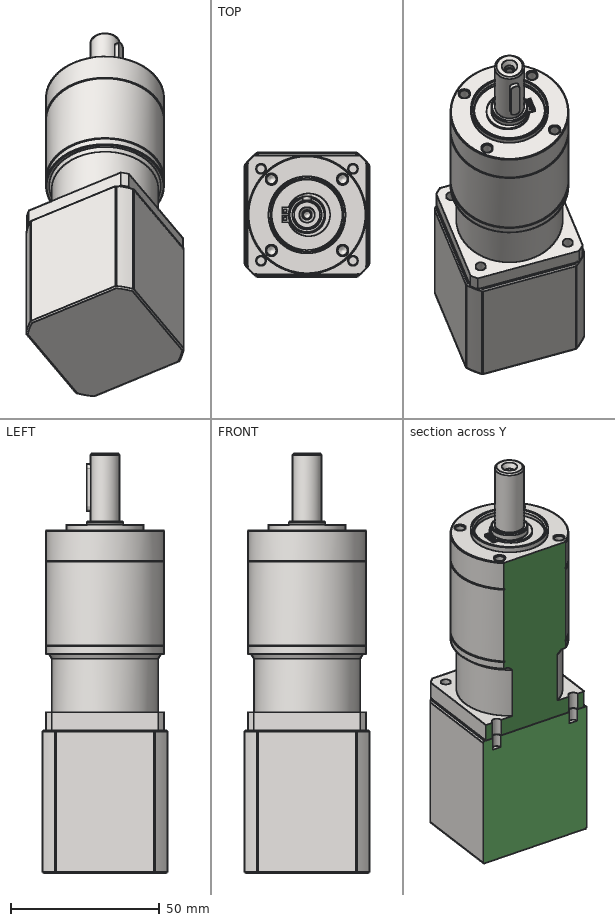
import cadquery as cq
import math

total_height = 141.8
motor_height = 48.4
flange_top = 54.5
barrel_bottom = 73.9
rear_groove_height = 76.9
front_groove_height = 105.4
barrel_top = 115.9
boss_top = 117.7
hub_top = 118.8

motor_side = 42.3
motor_end_chamfer = 0.5
motor_corner_chamfer = 0.3
motor_hole_diameter = 3.0
motor_hole_depth = 4.5

corner_radius = 27.0
flange_side = 40.0
flange_hole_spacing = 31.0
flange_hole_diameter = 3.4

barrel_radius = flange_side / 2
barrel_chamfer = 0.3
groove_depth = 0.21
neck_radius = 18.0
collar_radius = 18.9
collar_bottom = 72.5

boss_radius = 13.0
recess_radius = 11.9
recess_chamfer = 0.5
recess_floor = barrel_top

front_hole_diameter = 3.3
front_hole_mouth_diameter = 4.0
front_hole_mouth_angle = 90
front_hole_count = 4
front_hole_circle = 34.0
front_hole_depth = 9.9
drill_point_angle = 118

shaft_radius = 5.0
shaft_chamfer = 0.5
hub_radius = 6.2
hub_chamfer = 0.4
center_mouth_diameter = 5.2
center_mouth_angle = 60
center_bore_diameter = 3.3
center_bore_depth = 3.1
center_drill_diameter = 2.5
center_drill_depth = 9.0

key_width = 3.0
key_bottom = 122.2
key_top = 138.3
key_reach = 6.2

ring_radius = 7.2
ring_offset = 0.5
ring_thickness = 0.7
ear_reach = 8.4
ear_width = 5.1
ear_gap = 0.7
ear_hole_diameter = 1.1
ear_hole_x = -7.4
ear_hole_spacing = 2.7


def rounded_square(side, bottom, height):
    """A square block whose corners are turned down to the common corner cylinder."""
    block = cq.Workplane("XY").workplane(offset=bottom).rect(side, side).extrude(height)
    limit = cq.Workplane("XY").workplane(offset=bottom).circle(corner_radius).extrude(height)
    return block.intersect(limit)


def cylinder(radius, bottom, top):
    return cq.Workplane("XY").workplane(offset=bottom).circle(radius).extrude(top - bottom)


def revolved(outline):
    """A solid turned about the Z axis from a closed outline of (radius, height) points."""
    return cq.Workplane("XZ").polyline(outline).close().revolve(360, (0, 0), (0, 1))


def cone_height(radius, angle):
    """The height of a cone with the given base radius and full tip angle."""
    return radius / math.tan(math.radians(angle / 2))


def drill(diameter, top, depth):
    """A drilled hole's volume with a conical point, on the Z axis."""
    radius = diameter / 2
    tip = top - depth - cone_height(radius, drill_point_angle)
    return revolved([(0, top), (radius, top), (radius, top - depth), (0, tip)])


def countersink(diameter, top, angle):
    """A conical hole mouth's volume, on the Z axis."""
    radius = diameter / 2
    return revolved([(0, top), (radius, top), (0, top - cone_height(radius, angle))])


def flange_holes(diameter, bottom, top):
    """Four straight hole volumes on the flange's square bolt pattern."""
    return (
        cq.Workplane("XY").workplane(offset=bottom)
        .rect(flange_hole_spacing, flange_hole_spacing, forConstruction=True).vertices()
        .circle(diameter / 2).extrude(top - bottom)
    )


def make_motor():
    motor = rounded_square(motor_side, 0, motor_height).edges("|Z").chamfer(motor_corner_chamfer)
    motor = motor.faces("<Z or >Z").edges().chamfer(motor_end_chamfer)
    return motor.cut(flange_holes(motor_hole_diameter, motor_height - motor_hole_depth, motor_height))


def make_flange():
    flange = rounded_square(flange_side, motor_height, flange_top - motor_height)
    return flange.cut(flange_holes(flange_hole_diameter, motor_height, flange_top))


def groove(height):
    """A V-shaped ring cut into the barrel's side."""
    inner = barrel_radius - groove_depth
    upper_edge = (barrel_radius, height + groove_depth)
    lower_edge = (barrel_radius, height - groove_depth)
    return revolved([(inner, height), upper_edge, lower_edge])


def make_barrel():
    barrel = cylinder(barrel_radius, barrel_bottom, barrel_top).edges().chamfer(barrel_chamfer)
    barrel = barrel.cut(groove(rear_groove_height)).cut(groove(front_groove_height))
    neck = cylinder(neck_radius, flange_top, barrel_bottom)
    collar = revolved([
        (0, collar_bottom), (neck_radius, collar_bottom), (collar_radius, barrel_bottom), (0, barrel_bottom),
    ])
    return barrel.union(neck).union(collar)


def make_boss():
    boss = cylinder(boss_radius, barrel_top, boss_top)
    boss = boss.cut(cylinder(recess_radius, recess_floor, boss_top))
    return boss.faces(">Z").edges(cq.selectors.RadiusNthSelector(0)).chamfer(recess_chamfer)


def make_front_holes():
    hole = drill(front_hole_diameter, barrel_top, front_hole_depth)
    hole = hole.union(countersink(front_hole_mouth_diameter, barrel_top, front_hole_mouth_angle))
    holes = cq.Workplane("XY")
    for index in range(front_hole_count):
        angle = (index + 0.5) * 360 / front_hole_count
        holes = holes.add(hole.translate((front_hole_circle / 2, 0, 0)).rotate((0, 0, 0), (0, 0, 1), angle))
    return holes.combine()


def make_center_hole():
    mouth = countersink(center_mouth_diameter, total_height, center_mouth_angle)
    bore = cylinder(center_bore_diameter / 2, total_height - center_bore_depth, total_height)
    return drill(center_drill_diameter, total_height, center_drill_depth).union(bore).union(mouth)


def make_retaining_ring():
    ring = cylinder(ring_radius, recess_floor, recess_floor + ring_thickness).translate((ring_offset, 0, 0))
    plane = cq.Workplane("XY").workplane(offset=recess_floor)
    ears = plane.center(-ear_reach / 2, 0).rect(ear_reach, ear_width).extrude(ring_thickness)
    gap = plane.center(-ear_reach / 2, 0).rect(ear_reach, ear_gap).extrude(ring_thickness)
    holes = (
        plane.pushPoints([(ear_hole_x, ear_hole_spacing / 2), (ear_hole_x, -ear_hole_spacing / 2)])
        .circle(ear_hole_diameter / 2).extrude(ring_thickness)
    )
    return ring.union(ears).cut(gap).cut(holes)


def make_shaft():
    shaft = cylinder(shaft_radius, recess_floor, total_height).faces(">Z").chamfer(shaft_chamfer)
    hub = cylinder(hub_radius, recess_floor, hub_top).faces(">Z").chamfer(hub_chamfer)
    key = (
        cq.Workplane("XZ").center(0, (key_bottom + key_top) / 2)
        .slot2D(key_top - key_bottom, key_width, 90).extrude(-key_reach)
    )
    return shaft.union(hub).union(key).cut(make_center_hole())


def make_gearbox():
    barrel = make_barrel().union(make_boss()).cut(make_front_holes())
    return make_flange().union(barrel).union(make_retaining_ring()).union(make_shaft())


motor = make_motor()
gearbox = make_gearbox()

result = cq.Compound.makeCompound([motor.val(), gearbox.val()])